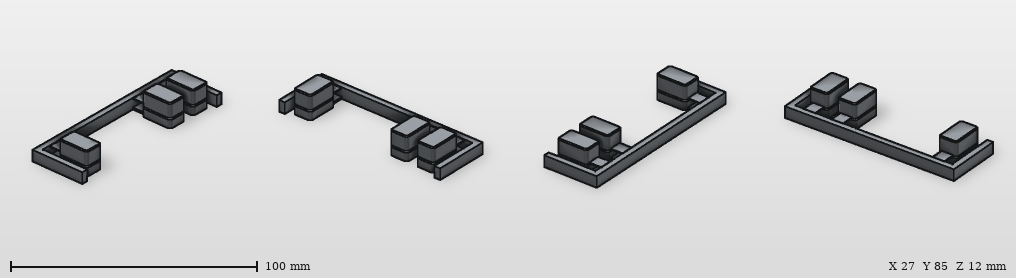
import cadquery as cq

frame_length_x = 27.0
frame_length_y = 85.0
frame_height = 5.5
wall = 3.0

key_length_x = 15.5
key_width_y = 9.35
key_corner_radius = 1.7
cap_chamfer = 0.5
key_top = 12.0
foot_height = 4.0
air_gap = 0.9
cap_bottom = foot_height + air_gap

tab_length_x = 6.3
tab_width_y = key_width_y - 2 * key_corner_radius
cap_tab_thickness = 0.4
foot_tab_thickness = 1.0

outer_key_spacing = 64.9
key_pitch = 14.0
key_centres_y = [
    -outer_key_spacing / 2,
    outer_key_spacing / 2 - key_pitch,
    outer_key_spacing / 2,
]

key_start_x = wall + tab_length_x
key_centre_x = key_start_x + key_length_x / 2


def make_frame():
    """Long wall at X = 0 with an arm along +X at each end."""
    outside = cq.Workplane("XY").box(
        frame_length_x, frame_length_y, frame_height, centered=(False, True, False)
    )
    opening = (
        cq.Workplane("XY")
        .box(frame_length_x, frame_length_y - 2 * wall, frame_height, centered=(False, True, False))
        .translate((wall, 0, 0))
    )
    return outside.cut(opening)


def make_key_block(centre_y, bottom, top):
    """Block with rounded vertical corners."""
    return (
        cq.Workplane("XY", origin=(key_centre_x, centre_y, bottom))
        .rect(key_length_x, key_width_y)
        .extrude(top - bottom)
        .edges("|Z")
        .fillet(key_corner_radius)
    )


def make_tab(centre_y, bottom, thickness):
    """Flat strip running from the outer face of the long wall to the middle of a key block."""
    return cq.Workplane("XY", origin=(0, centre_y, bottom)).box(
        key_centre_x, tab_width_y, thickness, centered=(False, True, False)
    )


result = make_frame()
for key_y in key_centres_y:
    foot = make_key_block(key_y, 0, foot_height)
    cap = make_key_block(key_y, cap_bottom, key_top).faces(">Z").chamfer(cap_chamfer)
    foot_tab = make_tab(key_y, 0, foot_tab_thickness)
    cap_tab = make_tab(key_y, cap_bottom, cap_tab_thickness)
    result = result.union(foot).union(foot_tab).union(cap).union(cap_tab)